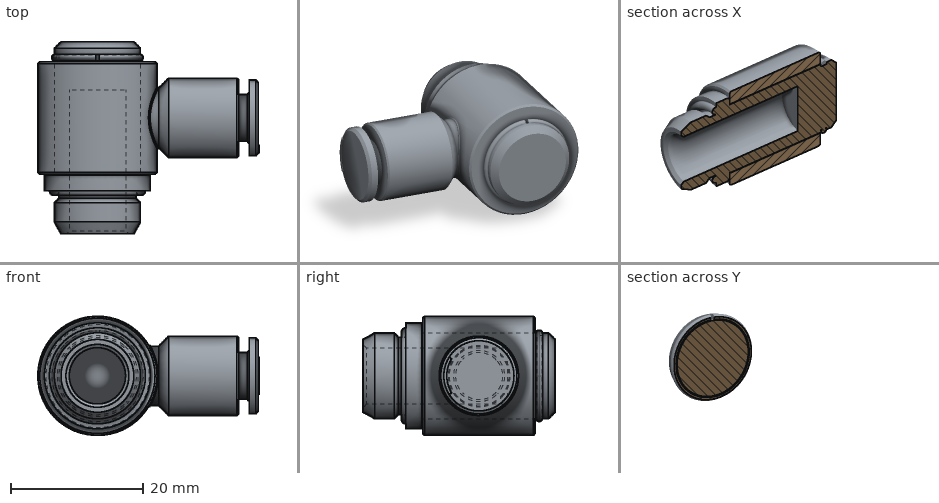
import cadquery as cq
import math


housing_radius = 9.0
housing_half_length = 8.5
housing_chamfer = 0.3

port_neck_radius = 4.5
port_radius = 6.0
port_cone_start = 9.25
port_cone_end = port_cone_start + port_radius - port_neck_radius
port_end = 21.3
port_chamfer = 0.25
pad_height = 0.15
pad_radius = port_neck_radius + pad_height

sleeve_radius = 3.55
sleeve_cone_start = 22.6
flange_start = 22.9
flange_end = 24.3
flange_root_radius = sleeve_radius + flange_start - sleeve_cone_start
flange_radius = 5.75
flange_chamfer_length = 0.4
flange_face_radius = 5.3
mark_height = 0.1
mark_inner_radius = 4.85
mark_half_angle = 32.0

stud_radius = 6.5
stud_end_radius = 5.5
stud_front = -17.5
stud_back = 11.5
front_taper_end = -15.7
back_chamfer = stud_radius - stud_end_radius
undercut_radius = 5.85
undercut_chamfer = stud_radius - undercut_radius
undercut_end = -12.15
collar_radius = 8.0
collar_front = -11.0
collar_clearance = 0.15
spacer_radius = 7.8
seal_radius = 0.7
seal_centre_radius = undercut_radius + seal_radius
bore_radius = 4.25
bore_chamfer = 0.5
bore_floor = bore_radius

ring_section_radius = 0.5
ring_centre_radius = 6.4
ring_centre = housing_half_length + 0.6
ring_gap = 0.5
ring_seat_depth = 0.2
groove_radius = ring_centre_radius - ring_section_radius + ring_seat_depth


def cylinder_y(radius, start, end):
    return cq.Workplane("XZ", origin=(0, start, 0)).circle(radius).extrude(start - end)


def revolve_about_x(points):
    """Turn an (x, radius) outline around the X axis."""
    return cq.Workplane("XY").polyline(points).close().revolve(360, (0, 0, 0), (1, 0, 0))


def revolve_about_y(points):
    """Turn a (radius, y) outline around the Y axis."""
    return cq.Workplane("XY").polyline(points).close().revolve(360, (0, 0, 0), (0, 1, 0))


def torus_y(centre_radius, section_radius, y):
    section = cq.Workplane("XY").center(centre_radius, y).circle(section_radius)
    return section.revolve(360, (-centre_radius, 0, 0), (-centre_radius, 1, 0))


def make_port():
    return revolve_about_x([
        (0, 0),
        (0, port_neck_radius),
        (port_cone_start, port_neck_radius),
        (port_cone_end, port_radius),
        (port_end - port_chamfer, port_radius),
        (port_end, port_radius - port_chamfer),
        (port_end, sleeve_radius),
        (sleeve_cone_start, sleeve_radius),
        (flange_start, flange_root_radius),
        (flange_start, flange_radius),
        (flange_end - flange_chamfer_length, flange_radius),
        (flange_end, flange_face_radius),
        (flange_end, 0),
    ])


def make_pad():
    """Round saddle standing slightly proud of the housing wall."""
    post = cq.Workplane("YZ").circle(pad_radius).extrude(port_cone_start)
    shell = cylinder_y(housing_radius + pad_height, -housing_half_length, housing_half_length)
    return post.intersect(shell)


def make_flange_mark():
    """Arc-shaped raised strip on the flange face, centred on the -Y side."""
    def on_arc(radius, angle):
        turn = math.radians(angle)
        return (-radius * math.cos(turn), radius * math.sin(turn))

    return (
        cq.Workplane("YZ", origin=(flange_end, 0, 0))
        .moveTo(*on_arc(mark_inner_radius, -mark_half_angle))
        .threePointArc(on_arc(mark_inner_radius, 0), on_arc(mark_inner_radius, mark_half_angle))
        .lineTo(*on_arc(flange_face_radius, mark_half_angle))
        .threePointArc(on_arc(flange_face_radius, 0), on_arc(flange_face_radius, -mark_half_angle))
        .close()
        .extrude(mark_height)
    )


def make_housing():
    barrel = cylinder_y(housing_radius, -housing_half_length, housing_half_length)
    body = barrel.edges().chamfer(housing_chamfer)
    body = body.union(make_pad()).union(make_port()).union(make_flange_mark())
    return body.cut(cylinder_y(stud_radius, -housing_half_length, housing_half_length))


def make_retaining_ring():
    ring = torus_y(ring_centre_radius, ring_section_radius, ring_centre)
    gap = cq.Workplane("XY").box(
        ring_gap, 2 * ring_section_radius, housing_radius, centered=(True, True, False)
    )
    return ring.cut(gap.translate((0, ring_centre, 0)))


def make_stud():
    collar_back = -housing_half_length - collar_clearance
    groove_front = ring_centre - ring_section_radius
    groove_back = ring_centre + ring_section_radius
    body = revolve_about_y([
        (0, stud_front),
        (stud_end_radius, stud_front),
        (stud_radius, front_taper_end),
        (stud_radius, undercut_end - undercut_chamfer),
        (undercut_radius, undercut_end),
        (undercut_radius, collar_front),
        (collar_radius, collar_front),
        (collar_radius, collar_back),
        (spacer_radius, collar_back),
        (spacer_radius, -housing_half_length),
        (stud_radius, -housing_half_length),
        (stud_radius, groove_front),
        (groove_radius, groove_front),
        (groove_radius, groove_back),
        (stud_radius, groove_back),
        (stud_radius, stud_back - back_chamfer),
        (stud_end_radius, stud_back),
        (0, stud_back),
    ])
    body = body.union(torus_y(seal_centre_radius, seal_radius, collar_front))
    body = body.union(make_retaining_ring())
    bore = revolve_about_y([
        (0, stud_front),
        (bore_radius + bore_chamfer, stud_front),
        (bore_radius, stud_front + bore_chamfer),
        (bore_radius, bore_floor),
        (0, bore_floor),
    ])
    return body.cut(bore)


housing = make_housing()
stud = make_stud()

result = cq.Compound.makeCompound([housing.solids().val(), stud.solids().val()])